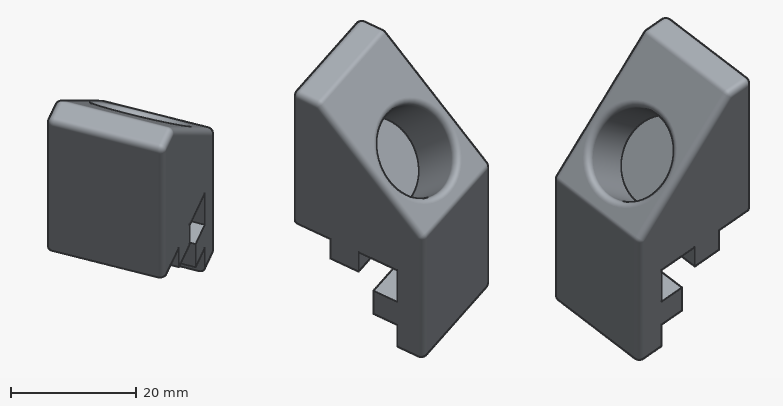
import cadquery as cq
import math

width = 20.0
depth = 25.0
height = 48.5

leg_thickness = 5.0
leg_length = 18.5
slope_angle = 45
slope_run = 20.0
edge_radius = 1.1

tab_gap = 7.3
tab_width = 5.4
tab_length = 4.5

hole_diameter = 15.25
hole_depth = 10.0
hole_rim_radius = edge_radius
hole_setback = 7.5

leg_front = depth - leg_thickness
slope_start = depth - slope_run
shoulder_height = height - slope_run


def box(y_min, y_max, z_min, z_max):
    """Full-width box between the given Y and Z limits."""
    return cq.Workplane("XY").box(
        width, y_max - y_min, z_max - z_min, centered=(True, False, False)
    ).translate((0, y_min, z_min))


def make_envelope():
    """Sloped block, rounded on every edge, before the inner corner is cut away."""
    outline = [
        (0, 0),
        (depth, 0),
        (depth, shoulder_height),
        (slope_start, height),
        (0, height),
    ]
    block = cq.Workplane("YZ").polyline(outline).close().extrude(width / 2, both=True)
    return block.edges().fillet(edge_radius)


def make_tabs():
    """Full-width square tabs that face into the inner corner."""
    near = tab_gap
    far = tab_gap + tab_width
    block_tab = box(leg_front - far, leg_front - near, leg_length - tab_length, leg_length)
    leg_tab = box(leg_front - tab_length, leg_front, leg_length - far, leg_length - near)
    return block_tab.union(leg_tab)


def make_hole_cutter():
    """Round hole whose mouth flares out in a convex quarter-round rim."""
    hole_radius = hole_diameter / 2
    mouth_radius = hole_radius + hole_rim_radius
    arc_offset = hole_rim_radius * (1 - math.sqrt(0.5))
    profile = (
        cq.Workplane("XZ")
        .moveTo(0, 0)
        .lineTo(mouth_radius, 0)
        .threePointArc(
            (hole_radius + arc_offset, -arc_offset),
            (hole_radius, -hole_rim_radius),
        )
        .lineTo(hole_radius, -hole_depth)
        .lineTo(0, -hole_depth)
        .close()
    )
    cutter = profile.revolve(360, (0, 0, 0), (0, 1, 0))
    hole_y = depth - hole_setback
    hole_z = shoulder_height + hole_setback
    return cutter.rotate((0, 0, 0), (1, 0, 0), -slope_angle).translate((0, hole_y, hole_z))


inner_corner = box(0, leg_front, 0, leg_length)
result = make_envelope().cut(inner_corner).union(make_tabs()).cut(make_hole_cutter())